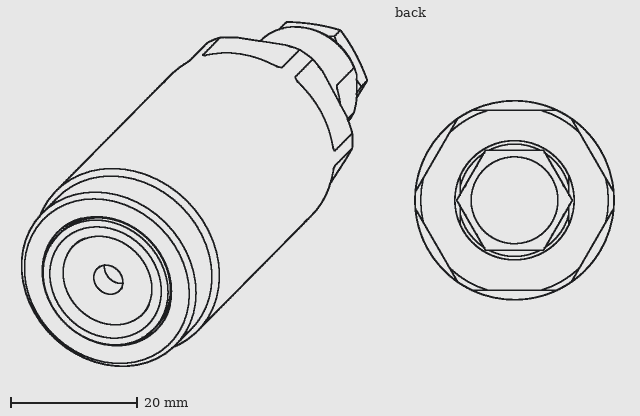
import cadquery as cq
import math

length = 91.9

nose_face = 0.9
nose_radius = 14.9
nose_chamfer = 0.8
groove_outer_radius = 11.0
groove_depth = 0.5
boss_radius = 10.7
boss_face = 0.4

bead_radius = 1.0
bead_ring_radius = 8.7
disc_radius = bead_ring_radius - bead_radius
disc_face = 1.6
hole_radius = 2.5
hole_depth = 4.6

body_radius = 15.8
shoulder_start = 8.6
body_rear = 68.3
body_rear_chamfer = 0.9
body_across_flats = 28.6
body_flat_count = 6
body_flat_step = 360 / body_flat_count
body_flat_length = 9.2
body_flat_fillet = 0.7

collar_radius = 9.5
collar_rear = 87.3
collar_chamfer_length = 1.1
collar_chamfer_height = 0.55
collar_flat_distance = 8.6
collar_flat_length = 9.1
collar_flat_fillet = 0.6

nut_across_flats = 15.9
nut_corner_radius = nut_across_flats / 2 / math.cos(math.radians(30))
nut_rear_radius = 6.9
nut_front_radius = 8.1
nut_chamfer_slope = math.tan(math.radians(30))


def revolve_about_y(profile):
    """Turn a closed (radius, Y) profile through a full circle about the Y axis."""
    return profile.close().revolve(360, (0, 0, 0), (0, 1, 0))


def make_turned_body():
    outer = [
        (0, disc_face),
        (bead_ring_radius, disc_face),
        (bead_ring_radius, boss_face),
        (boss_radius, boss_face),
        (boss_radius, nose_face + groove_depth),
        (groove_outer_radius, nose_face + groove_depth),
        (groove_outer_radius, nose_face),
        (nose_radius - nose_chamfer, nose_face),
        (nose_radius, nose_face + nose_chamfer),
        (nose_radius, shoulder_start),
        (body_radius, shoulder_start + body_radius - nose_radius),
        (body_radius, body_rear - body_rear_chamfer),
        (body_radius - body_rear_chamfer, body_rear),
        (collar_radius, body_rear),
        (collar_radius, collar_rear - collar_chamfer_length),
        (collar_radius - collar_chamfer_height, collar_rear),
        (0, collar_rear),
    ]
    return revolve_about_y(cq.Workplane("XY").polyline(outer))


def make_bead():
    """Half-round ring whose crest is the foremost point of the part."""
    section = (
        cq.Workplane("XY")
        .moveTo(disc_radius, bead_radius)
        .threePointArc((bead_ring_radius, 0), (bead_ring_radius + bead_radius, bead_radius))
        .lineTo(bead_ring_radius + bead_radius, disc_face)
        .lineTo(disc_radius, disc_face)
    )
    return revolve_about_y(section)


def make_flat_cutter(distance, flat_length, rear, fillet, angle):
    """Block that cuts one flat facing the given angle from +X, rounded at its front inner edge."""
    block_width = 2 * body_radius
    block = (
        cq.Workplane("XY")
        .box(body_radius, flat_length, block_width, centered=(False, False, True))
        .edges("<X and <Y")
        .fillet(fillet)
        .translate((distance, rear - flat_length, 0))
    )
    return block.rotate((0, 0, 0), (0, 1, 0), angle)


def make_nut():
    """Hexagon with flats facing +Z and -Z, trimmed by conical chamfers at both ends."""
    nut_length = length - collar_rear
    hexagon = (
        cq.Workplane("XZ", origin=(0, length, 0))
        .polygon(6, 2 * nut_corner_radius)
        .extrude(nut_length)
    )
    front_chamfer = (nut_corner_radius - nut_front_radius) * nut_chamfer_slope
    rear_chamfer = (nut_corner_radius - nut_rear_radius) * nut_chamfer_slope
    envelope = revolve_about_y(
        cq.Workplane("XY").polyline([
            (0, collar_rear),
            (nut_front_radius, collar_rear),
            (nut_corner_radius, collar_rear + front_chamfer),
            (nut_corner_radius, length - rear_chamfer),
            (nut_rear_radius, length),
            (0, length),
        ])
    )
    return hexagon.intersect(envelope)


result = make_turned_body().union(make_bead())

for index in range(body_flat_count):
    angle = body_flat_step * (index + 0.5)
    result = result.cut(
        make_flat_cutter(body_across_flats / 2, body_flat_length, body_rear, body_flat_fillet, angle)
    )

for angle in (0, 180):
    result = result.cut(
        make_flat_cutter(collar_flat_distance, collar_flat_length, collar_rear, collar_flat_fillet, angle)
    )

hole = cq.Workplane("XZ").circle(hole_radius).extrude(-(disc_face + hole_depth))
result = result.union(make_nut()).cut(hole)